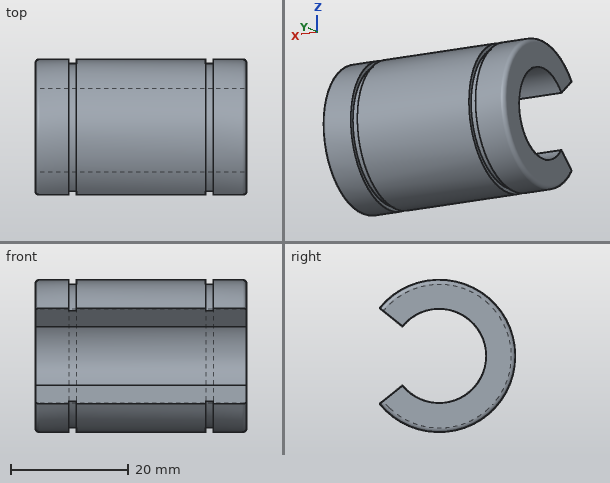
import cadquery as cq
import math

LENGTH = 36.0
OUTER_RADIUS = 13.0
BORE_RADIUS = 8.0
END_FILLET = 0.75

GROOVE_WIDTH = 1.3
GROOVE_DEPTH = 0.75
GROOVE_OUTER_SPAN = 24.6
GROOVE_OFFSET = (GROOVE_OUTER_SPAN - GROOVE_WIDTH) / 2

SLOT_HALF_ANGLE = math.radians(38.8)
SLOT_REACH = 2 * OUTER_RADIUS


def x_cylinder(radius, length, x_center=0.0):
    """Solid cylinder along X, centred at x_center."""
    return cq.Workplane("YZ", origin=(x_center - length / 2, 0, 0)).circle(radius).extrude(length)


def sleeve():
    """Tube with rounded outer edges at both ends."""
    body = x_cylinder(OUTER_RADIUS, LENGTH).faces("<X or >X").edges().fillet(END_FILLET)
    return body.cut(x_cylinder(BORE_RADIUS, LENGTH))


def groove(x_center):
    """Ring of material removed by one retaining-ring groove."""
    ring = x_cylinder(OUTER_RADIUS + GROOVE_DEPTH, GROOVE_WIDTH, x_center)
    return ring.cut(x_cylinder(OUTER_RADIUS - GROOVE_DEPTH, GROOVE_WIDTH, x_center))


def slot():
    """Full-length wedge that opens the sleeve towards -Y."""
    half_height = SLOT_REACH * math.tan(SLOT_HALF_ANGLE)
    return (
        cq.Workplane("YZ", origin=(-LENGTH / 2, 0, 0))
        .polyline([(0, 0), (-SLOT_REACH, half_height), (-SLOT_REACH, -half_height)])
        .close()
        .extrude(LENGTH)
    )


result = sleeve()
for side in (-1, 1):
    result = result.cut(groove(side * GROOVE_OFFSET))
result = result.cut(slot())